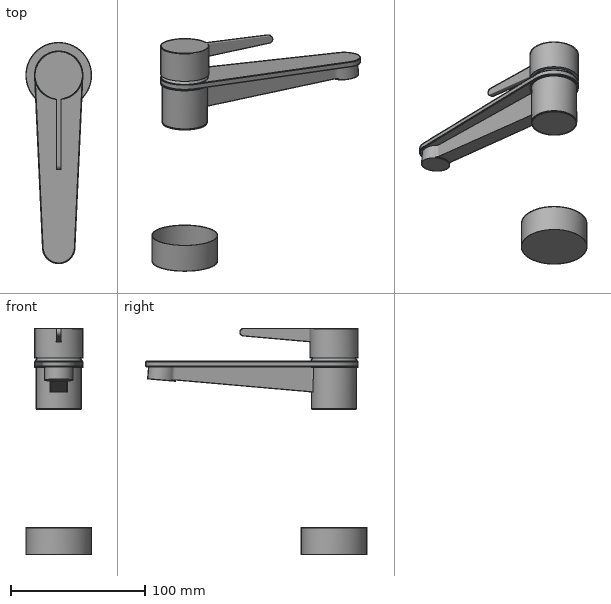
import cadquery as cq
import math

TOTAL_HEIGHT = 168.8
SLOPE = 5.0

CUP_DIAMETER = 49.0
CUP_HEIGHT = 20.3
CUP_WALL = 0.08

CAP_DIAMETER = 36.1
CAP_HEIGHT = 22.0
HANDLE_EDGE_RADIUS = 0.42
LEVER_WIDTH = 3.5
LEVER_REACH = 70.2
LEVER_TIP_RADIUS = 2.9
LEVER_ROOT_RADIUS = 0.5

NECK_HEIGHT = 2.5
NECK_TOP_DIAMETER = 31.7

REACH = 140.5
PLATE_THICKNESS = 4.2
PLATE_TIP_RADIUS = 12.2
PLATE_EDGE_CHAMFER = 0.5
FLANGE_HEIGHT = 0.7
COLUMN_DIAMETER = 33.8
COLUMN_DEPTH = 31.0
RIB_ROOT_DEPTH = 18.7
RIB_TOP_WIDTH = 12.8
RIB_DRAFT = 2.0
RIB_END_FILLET = 3.4
NOZZLE_DIAMETER = 21.0
NOZZLE_REACH = 127.8
NOZZLE_DEPTH = 10.0

FOOT_DIAMETER = 33.0
FOOT_HEIGHT = 0.8

slope_sin = math.sin(math.radians(SLOPE))
slope_cos = math.cos(math.radians(SLOPE))
slope_tan = slope_sin / slope_cos
cap_radius = CAP_DIAMETER / 2
column_radius = COLUMN_DIAMETER / 2
cap_bottom = TOTAL_HEIGHT - CAP_HEIGHT
plate_top = cap_bottom - NECK_HEIGHT
plate_bottom = plate_top - PLATE_THICKNESS
column_bottom = plate_bottom - COLUMN_DEPTH
tip_center_y = -(REACH - PLATE_TIP_RADIUS)


def disc(diameter, bottom, height):
    """Upright cylinder on the column axis."""
    return cq.Workplane("XY").workplane(offset=bottom).circle(diameter / 2).extrude(height)


def make_cup():
    """Thin-walled cup, open at the top."""
    hollow = disc(CUP_DIAMETER - 2 * CUP_WALL, CUP_WALL, CUP_HEIGHT)
    return disc(CUP_DIAMETER, 0, CUP_HEIGHT).cut(hollow)


def make_lever():
    """Flat lever with a sloping underside and a round tip tangent to both long sides."""
    tip_y = -(LEVER_REACH - LEVER_TIP_RADIUS)
    tip_z = TOTAL_HEIGHT - LEVER_TIP_RADIUS
    lower_y = tip_y - LEVER_TIP_RADIUS * slope_sin
    lower_z = tip_z - LEVER_TIP_RADIUS * slope_cos
    return (
        cq.Workplane("YZ")
        .moveTo(0, TOTAL_HEIGHT)
        .lineTo(tip_y, TOTAL_HEIGHT)
        .threePointArc((-LEVER_REACH, tip_z), (lower_y, lower_z))
        .lineTo(0, lower_z + lower_y * slope_tan)
        .close()
        .extrude(LEVER_WIDTH / 2, both=True)
    )


def make_handle():
    """Round cap with the lever blended into its side and a softened upper rim."""
    handle = disc(CAP_DIAMETER, cap_bottom, CAP_HEIGHT).union(make_lever())
    root_box = cq.selectors.BoxSelector(
        (-LEVER_WIDTH, -cap_radius - LEVER_WIDTH, cap_bottom),
        (LEVER_WIDTH, 0, TOTAL_HEIGHT),
    )
    handle = handle.edges("|Z").edges(root_box).fillet(LEVER_ROOT_RADIUS)
    return handle.faces(">Z").edges().fillet(HANDLE_EDGE_RADIUS)


def make_neck():
    """Short cone that carries the cap above the spout."""
    return (
        cq.Workplane("XY")
        .workplane(offset=plate_top)
        .circle(cap_radius - PLATE_EDGE_CHAMFER)
        .workplane(offset=NECK_HEIGHT)
        .circle(NECK_TOP_DIAMETER / 2)
        .loft()
    )


def make_plate():
    """Tapering plate with a round root and a semicircular tip."""
    tangent_sin = (cap_radius - PLATE_TIP_RADIUS) / -tip_center_y
    root_x = cap_radius * math.sqrt(1 - tangent_sin**2)
    root_y = -cap_radius * tangent_sin
    return (
        cq.Workplane("XY")
        .workplane(offset=plate_bottom)
        .moveTo(root_x, root_y)
        .threePointArc((0, cap_radius), (-root_x, root_y))
        .lineTo(-PLATE_TIP_RADIUS, tip_center_y)
        .threePointArc((0, -REACH), (PLATE_TIP_RADIUS, tip_center_y))
        .close()
        .extrude(PLATE_THICKNESS)
        .faces("<Z or >Z")
        .edges()
        .chamfer(PLATE_EDGE_CHAMFER)
    )


def make_rib():
    """Drafted rib under the plate, cut off along its sloping underside."""
    block = (
        cq.Workplane("XY")
        .workplane(offset=plate_bottom)
        .center(0, -NOZZLE_REACH / 2)
        .rect(RIB_TOP_WIDTH, NOZZLE_REACH)
        .extrude(-COLUMN_DEPTH, taper=RIB_DRAFT)
    )
    underside_root = plate_bottom - RIB_ROOT_DEPTH - column_radius * slope_tan
    keep = (
        cq.Workplane("YZ")
        .moveTo(0, plate_bottom)
        .lineTo(-NOZZLE_REACH, plate_bottom)
        .lineTo(-NOZZLE_REACH, underside_root + NOZZLE_REACH * slope_tan)
        .lineTo(0, underside_root)
        .close()
        .extrude(RIB_TOP_WIDTH, both=True)
    )
    return block.intersect(keep)


def make_nozzle():
    """Round outlet under the plate tip, tilted square to the rib underside and cut off level with the plate."""
    tilted = (
        cq.Workplane("XY")
        .workplane(offset=PLATE_THICKNESS)
        .circle(NOZZLE_DIAMETER / 2)
        .extrude(-PLATE_THICKNESS - NOZZLE_DEPTH)
        .rotate((0, 0, 0), (1, 0, 0), -SLOPE)
        .translate((0, -NOZZLE_REACH, plate_bottom))
    )
    space_below_plate = (
        cq.Workplane("XY")
        .workplane(offset=plate_bottom)
        .rect(CAP_DIAMETER, 2 * REACH)
        .extrude(-COLUMN_DEPTH)
    )
    return tilted.intersect(space_below_plate)


def fillet_rib_end(stem, near_y, far_y):
    """Fillet the two upright corners where a rib end runs into a round part, found between two Y places."""
    rib_end = cq.selectors.BoxSelector(
        (-RIB_TOP_WIDTH / 2, near_y, column_bottom),
        (RIB_TOP_WIDTH / 2, far_y, plate_bottom),
    )
    return stem.edges(rib_end).edges("<X or >X").fillet(RIB_END_FILLET)


def make_spout():
    """Plate with the column, its flange, the rib and the nozzle below it.

    The rib fillets are tangent to a core slightly slimmer than the column, so the column cuts them short.
    """
    core = disc(FOOT_DIAMETER, column_bottom, COLUMN_DEPTH)
    stem = core.union(make_rib()).union(make_nozzle())
    stem = fillet_rib_end(stem, -column_radius, 0)
    stem = fillet_rib_end(stem, -NOZZLE_REACH, -NOZZLE_REACH + NOZZLE_DIAMETER / 2)
    column = disc(COLUMN_DIAMETER, column_bottom, COLUMN_DEPTH)
    flange = disc(CAP_DIAMETER, plate_bottom - FLANGE_HEIGHT, FLANGE_HEIGHT)
    return stem.union(column).union(flange).union(make_plate())


def make_foot():
    """Thin round foot under the column."""
    return disc(FOOT_DIAMETER, column_bottom - FOOT_HEIGHT, FOOT_HEIGHT)


cup = make_cup()
handle = make_handle()
neck = make_neck()
spout = make_spout()
foot = make_foot()

result = cq.Compound.makeCompound([handle.val(), neck.val(), spout.val(), foot.val(), cup.val()])